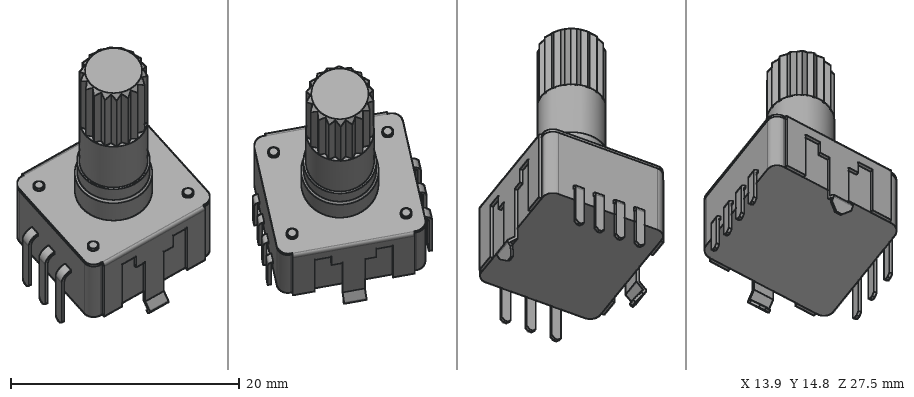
import cadquery as cq
import math

body_length_x = 11.85
body_length_y = 13.3
body_top = 7.5
corner_radius = 1.0
sheet = 0.3

bushing_diameter = 6.8
bushing_nose_diameter = 6.4
bushing_shoulder_z = 10.22
bushing_top_z = 11.7
bushing_chamfer = 0.25
peg_diameter = 1.0
peg_height = 0.25
peg_chamfer = 0.1
peg_pitch_x = 8.2
peg_pitch_y = 10.2

shaft_diameter = 6.0
shaft_top_z = 24.5
spline_length = 7.0
spline_teeth = 18
spline_root_diameter = 5.2
shaft_tip_diameter = 5.0

side_length_y = 10.9
clip_width = 2.0
window_width = 7.0
window_step_width = 4.0
window_height = 6.0
window_step_height = 4.45
clip_reach = 6.935
clip_depth = 2.98
clip_knee_depth = 1.12
clip_out_angle = 45.0
clip_return_angle = 35.0
clip_bend_radius = 0.2
clip_tip_chamfer = 0.7

terminal_sheet = 0.3
terminal_tip_chamfer = 0.3
front_count = 3
front_pitch = 2.5
front_width = 0.92
front_reach = 1.03
front_top_z = 4.1
front_depth = 2.9
rear_count = 4
rear_pitch = 2.0
rear_width = 0.85
rear_reach = 0.47
rear_top_z = 1.55
rear_depth = 2.98

housing_top = body_top - sheet
half_x = body_length_x / 2
half_y = body_length_y / 2
side_outer_x = half_x + sheet
spline_start_z = shaft_top_z - spline_length

DIAGONAL = math.sqrt(0.5)


def rounded_block(bottom_z, top_z):
    """Block with the rounded rectangular outline of the housing."""
    block = cq.Workplane("XY").workplane(offset=bottom_z).rect(body_length_x, body_length_y)
    return block.extrude(top_z - bottom_z).edges("|Z").fillet(corner_radius)


def cylinder(diameter, bottom_z, top_z):
    """Vertical cylinder on the Z axis."""
    return cq.Workplane("XY").workplane(offset=bottom_z).circle(diameter / 2).extrude(top_z - bottom_z)


def peg_posts(length):
    """Four plain posts at the peg positions, standing on the housing."""
    posts = cq.Workplane("XY").workplane(offset=housing_top)
    posts = posts.rect(peg_pitch_x, peg_pitch_y, forConstruction=True).vertices()
    return posts.circle(peg_diameter / 2).extrude(length)


def make_housing():
    """Block with the pegs and a stepped bushing bored for the shaft."""
    shoulder = cylinder(bushing_diameter, housing_top, bushing_shoulder_z)
    shoulder = shoulder.faces(">Z").edges().chamfer(bushing_chamfer)
    nose = cylinder(bushing_nose_diameter, housing_top, bushing_top_z)
    bore = cylinder(shaft_diameter, housing_top, bushing_top_z)
    pegs = peg_posts(sheet + peg_height).faces(">Z").edges().chamfer(peg_chamfer)
    block = rounded_block(0, housing_top)
    return block.union(shoulder).union(nose).union(pegs).cut(bore)


def make_shaft():
    """Round shaft with V-shaped splines and a conical lead-in at the top."""
    round_part = cylinder(shaft_diameter, housing_top, spline_start_z)

    outline = []
    for corner in range(2 * spline_teeth):
        angle = math.pi / 2 + corner * math.pi / spline_teeth
        diameter = shaft_diameter if corner % 2 == 0 else spline_root_diameter
        outline.append((diameter / 2 * math.cos(angle), diameter / 2 * math.sin(angle)))
    spline = cq.Workplane("XY").workplane(offset=spline_start_z)
    spline = spline.polyline(outline).close().extrude(spline_length)

    lead_in = (shaft_diameter - shaft_tip_diameter) / 2
    envelope = cylinder(shaft_diameter, spline_start_z, shaft_top_z)
    envelope = envelope.faces(">Z").edges().chamfer(lead_in)
    return round_part.union(spline.intersect(envelope))


def make_clip():
    """Bent clip on the +X side, below the housing."""
    out_angle = math.radians(clip_out_angle)
    return_angle = math.radians(clip_return_angle)
    bisector = (out_angle - return_angle) / 2
    half_corner = (math.pi - out_angle - return_angle) / 2

    corner_x = clip_reach + clip_bend_radius * (math.cos(bisector) / math.sin(half_corner) - 1)
    corner_z = -clip_knee_depth - (corner_x - side_outer_x) / math.tan(out_angle)
    tip_x = corner_x - (corner_z + clip_depth) * math.tan(return_angle)

    inner_knee_z = -clip_knee_depth - sheet * math.tan(out_angle / 2)
    corner_thickness = sheet / math.sin(half_corner)
    inner_corner = (
        corner_x - corner_thickness * math.cos(bisector),
        corner_z - corner_thickness * math.sin(bisector),
    )
    inner_tip = (
        tip_x - sheet * math.cos(return_angle),
        -clip_depth + sheet * math.sin(return_angle),
    )
    profile = [
        (half_x, 0),
        (side_outer_x, 0),
        (side_outer_x, -clip_knee_depth),
        (corner_x, corner_z),
        (tip_x, -clip_depth),
        inner_tip,
        inner_corner,
        (half_x, inner_knee_z),
    ]
    clip = cq.Workplane("XZ").polyline(profile).close().extrude(clip_width / 2, both=True)
    clip = clip.edges(cq.selectors.NearestToPointSelector((corner_x, 0, corner_z))).fillet(clip_bend_radius)

    tip_middle_x = (tip_x + inner_tip[0]) / 2
    tip_middle_z = (-clip_depth + inner_tip[1]) / 2
    for side in (-1, 1):
        tip_edge = (tip_middle_x, side * clip_width / 2, tip_middle_z)
        clip = clip.edges(cq.selectors.NearestToPointSelector(tip_edge)).chamfer(clip_tip_chamfer)
    return clip


def make_side():
    """Side sheet on the +X side with the cutouts that free its clip."""
    fold_middle = (half_x + sheet * DIAGONAL, housing_top + sheet * DIAGONAL)
    side = (
        cq.Workplane("XZ")
        .moveTo(half_x, 0)
        .lineTo(side_outer_x, 0)
        .lineTo(side_outer_x, housing_top)
        .threePointArc(fold_middle, (half_x, body_top))
        .close()
        .extrude(side_length_y / 2, both=True)
    )
    for direction in (-1, 1):
        window = [
            (direction * clip_width / 2, 0),
            (direction * clip_width / 2, window_step_height),
            (direction * window_step_width / 2, window_step_height),
            (direction * window_step_width / 2, window_height),
            (direction * window_width / 2, window_height),
            (direction * window_width / 2, 0),
        ]
        cutter = cq.Workplane("YZ").workplane(offset=half_x).polyline(window).close().extrude(sheet)
        side = side.cut(cutter)
    return side.union(make_clip())


def make_bracket():
    """Top plate with a side sheet and clip folded down at each end."""
    right_side = make_side()
    left_side = right_side.mirror("YZ")
    openings = cylinder(bushing_diameter, housing_top, body_top).union(peg_posts(sheet))
    return rounded_block(housing_top, body_top).cut(openings).union(right_side).union(left_side)


def make_terminal(x, width, reach, top_z, depth):
    """Terminal leaving the -Y housing face and bending down, with a chamfered tip."""
    inner_radius = reach - terminal_sheet
    bend_z = top_z - reach
    profile = (
        cq.Workplane("YZ").workplane(offset=x)
        .moveTo(-half_y, top_z)
        .threePointArc((-half_y - reach * DIAGONAL, bend_z + reach * DIAGONAL), (-half_y - reach, bend_z))
        .lineTo(-half_y - reach, -depth)
        .lineTo(-half_y - inner_radius, -depth)
        .lineTo(-half_y - inner_radius, bend_z)
        .threePointArc(
            (-half_y - inner_radius * DIAGONAL, bend_z + inner_radius * DIAGONAL),
            (-half_y, top_z - terminal_sheet),
        )
        .close()
    )
    terminal = profile.extrude(width / 2, both=True)
    return terminal.faces("<Z").edges("|Y").chamfer(terminal_tip_chamfer)


def row_positions(count, pitch):
    """X positions of an evenly spaced row centred on the Y axis."""
    return [(index - (count - 1) / 2) * pitch for index in range(count)]


housing = make_housing()
shaft = make_shaft()
bracket = make_bracket()

front_terminals = []
for x in row_positions(front_count, front_pitch):
    terminal = make_terminal(x, front_width, front_reach, front_top_z, front_depth)
    front_terminals.append(terminal.val())

rear_terminals = []
for x in row_positions(rear_count, rear_pitch):
    terminal = make_terminal(x, rear_width, rear_reach, rear_top_z, rear_depth).mirror("XZ")
    rear_terminals.append(terminal.val())

result = cq.Compound.makeCompound(
    [housing.val(), shaft.val(), bracket.val(), *front_terminals, *rear_terminals]
)